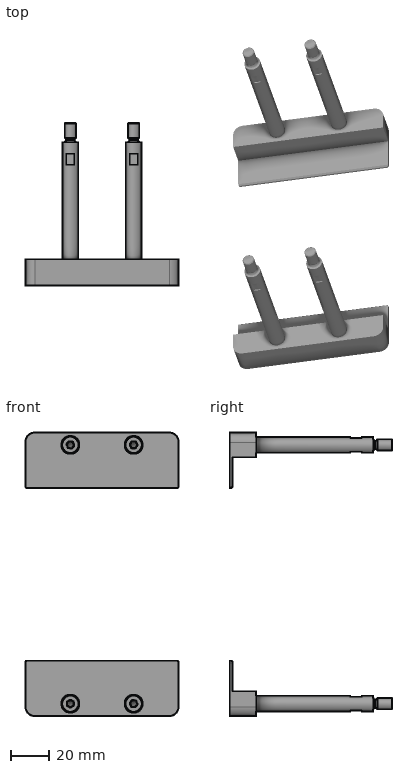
import cadquery as cq
import math


total_height = 148.0
total_depth = 85.0
screw_spacing = 33.0
screw_edge_inset = 6.5
screw_axis_z = total_height / 2 - screw_edge_inset

bracket_width = 80.0
bracket_height = 29.0
block_depth = 13.9
block_height = 13.0
plate_thickness = 1.6
outer_corner_radius = 5.0
plate_corner_radius = 1.0
plate_edge_chamfer = 0.7

head_diameter = 8.5
shank_diameter = 4.0
countersink_diameter = 9.5
head_recess = (countersink_diameter - head_diameter) / 2
cone_depth = (countersink_diameter - shank_diameter) / 2
thread_engagement = 8.9
screw_tip_y = block_depth + thread_engagement

drive_core_diameter = 3.3
drive_outer_diameter = 4.1
drive_lobe_radius = 0.5
drive_lobe_count = 6
drive_depth = 1.8
drive_floor_angle = 118.0

rod_diameter = 8.5
stud_length = 10.0
stud_diameter = 6.0
stud_tip_chamfer = 0.5
neck_diameter = 4.3
neck_length = 2.4
rod_shoulder_y = total_depth - stud_length
flat_length = 5.8
flat_offset = 6.0
across_flats = 7.3


def revolve_about_y(profile):
    """Revolve a closed (radius, y) outline drawn in the XY plane about the Y axis."""
    return profile.close().revolve(360, (0, 0, 0), (0, 1, 0))


def make_upper_bracket():
    top = total_height / 2
    side_profile = [
        (0, top),
        (block_depth, top),
        (block_depth, top - block_height),
        (plate_thickness, top - block_height),
        (plate_thickness, top - bracket_height + plate_edge_chamfer),
        (plate_thickness - plate_edge_chamfer, top - bracket_height),
        (0, top - bracket_height),
    ]
    bracket = cq.Workplane("YZ").polyline(side_profile).close().extrude(bracket_width / 2, both=True)
    bracket = bracket.intersect(make_bracket_outline())
    for x in (-screw_spacing / 2, screw_spacing / 2):
        bracket = bracket.cut(make_screw_hole().translate((x, 0, screw_axis_z)))
    return bracket


def make_bracket_outline():
    """Front outline of the upper bracket, large radii on top and small ones below."""
    outline = (
        cq.Workplane("XY")
        .box(bracket_width, block_depth, bracket_height, centered=(True, False, False))
        .translate((0, 0, total_height / 2 - bracket_height))
    )
    outline = outline.edges("|Y and >Z").fillet(outer_corner_radius)
    return outline.edges("|Y and <Z").fillet(plate_corner_radius)


def make_screw_hole():
    """Countersunk through hole, on the Y axis."""
    return revolve_about_y(
        cq.Workplane("XY")
        .moveTo(0, 0)
        .lineTo(countersink_diameter / 2, 0)
        .lineTo(shank_diameter / 2, cone_depth)
        .lineTo(shank_diameter / 2, block_depth)
        .lineTo(0, block_depth)
    )


def make_screw_drive():
    """Lobed recess with a conical floor, starting at the top of the screw head."""
    floor_rim_y = head_recess + drive_depth
    drive_radius = drive_outer_diameter / 2
    cone_height = drive_radius / math.tan(math.radians(drive_floor_angle / 2))
    envelope = revolve_about_y(
        cq.Workplane("XY")
        .moveTo(0, head_recess)
        .lineTo(drive_radius, head_recess)
        .lineTo(drive_radius, floor_rim_y)
        .lineTo(0, floor_rim_y + cone_height)
    )
    prism_length = drive_depth + cone_height
    prism_end = cq.Workplane("XZ", origin=(0, head_recess + prism_length, 0))
    core = prism_end.circle(drive_core_diameter / 2).extrude(prism_length)
    lobes = (
        prism_end.polarArray(drive_radius - drive_lobe_radius, 0, 360, drive_lobe_count)
        .circle(drive_lobe_radius)
        .extrude(prism_length)
    )
    return core.union(lobes).intersect(envelope)


def make_screw(drive_angle):
    """Screw on the Y axis, its drive turned by drive_angle degrees as seen from the front."""
    screw = revolve_about_y(
        cq.Workplane("XY")
        .moveTo(0, head_recess)
        .lineTo(head_diameter / 2, head_recess)
        .lineTo(shank_diameter / 2, cone_depth)
        .lineTo(shank_diameter / 2, screw_tip_y)
        .lineTo(0, screw_tip_y)
    )
    drive = make_screw_drive().rotate((0, 0, 0), (0, 1, 0), -drive_angle)
    return screw.cut(drive)


def make_rod():
    """Rod on the Y axis, bored for the screw and with a necked stud at its far end."""
    neck_runout = (stud_diameter - neck_diameter) / 2
    rod = revolve_about_y(
        cq.Workplane("XY")
        .moveTo(0, screw_tip_y)
        .lineTo(shank_diameter / 2, screw_tip_y)
        .lineTo(shank_diameter / 2, block_depth)
        .lineTo(rod_diameter / 2, block_depth)
        .lineTo(rod_diameter / 2, rod_shoulder_y)
        .lineTo(stud_diameter / 2, rod_shoulder_y)
        .lineTo(neck_diameter / 2, rod_shoulder_y + neck_runout)
        .lineTo(neck_diameter / 2, rod_shoulder_y + neck_length - neck_runout)
        .lineTo(stud_diameter / 2, rod_shoulder_y + neck_length)
        .lineTo(stud_diameter / 2, total_depth - stud_tip_chamfer)
        .lineTo(stud_diameter / 2 - stud_tip_chamfer, total_depth)
        .lineTo(0, total_depth)
    )
    flat_centre_y = rod_shoulder_y - flat_offset - flat_length / 2
    for side in (-1, 1):
        flat_cutter = (
            cq.Workplane("XY")
            .box(rod_diameter, flat_length, rod_diameter)
            .translate((0, flat_centre_y, side * (across_flats + rod_diameter) / 2))
        )
        rod = rod.cut(flat_cutter)
    return rod


upper_bracket = make_upper_bracket()
lower_bracket = upper_bracket.mirror("XY")

stations = [
    (-1, 1, -10),
    (1, 1, 0),
    (-1, -1, 30),
    (1, -1, -10),
]
screws = []
rods = []
for side_x, side_z, drive_angle in stations:
    position = (side_x * screw_spacing / 2, 0, side_z * screw_axis_z)
    screws.append(make_screw(drive_angle).translate(position).val())
    rods.append(make_rod().translate(position).val())

result = cq.Compound.makeCompound([upper_bracket.val(), lower_bracket.val(), *screws, *rods])